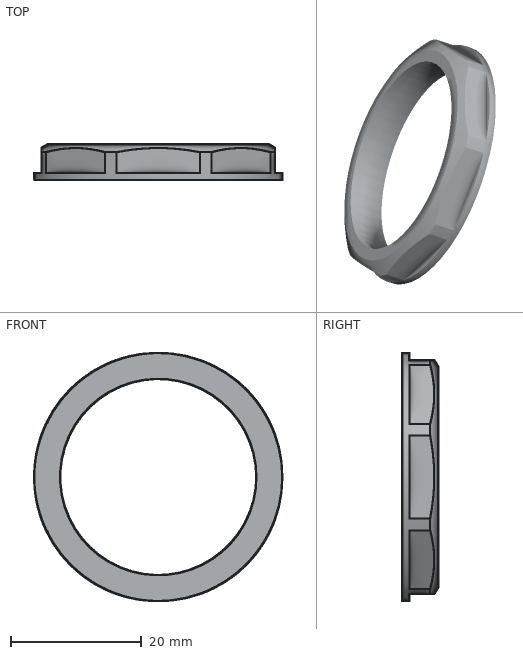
import cadquery as cq
import math

outer_diameter = 38.0
bore_diameter = 30.0
total_length = 5.5
flange_thickness = 1.1
flat_count = 8
across_flats = 35.8
chamfer_end_diameter = 33.65
chamfer_angle = 30.0

outer_radius = outer_diameter / 2
chamfer_end_radius = chamfer_end_diameter / 2
chamfer_length = (outer_radius - chamfer_end_radius) * math.tan(math.radians(chamfer_angle))
body_length = total_length - flange_thickness


def ring_blank():
    """Revolve the bored ring with its conical chamfer at the rear end."""
    profile = [
        (bore_diameter / 2, 0),
        (outer_radius, 0),
        (outer_radius, total_length - chamfer_length),
        (chamfer_end_radius, total_length),
        (bore_diameter / 2, total_length),
    ]
    return cq.Workplane("XY").polyline(profile).close().revolve(360, (0, 0, 0), (0, 1, 0))


def flat_cutter(angle):
    """Block that removes the stock outside one wrench flat, behind the flange."""
    block = cq.Workplane("XY").box(
        outer_radius, body_length, outer_diameter, centered=(False, False, True)
    )
    block = block.translate((across_flats / 2, flange_thickness, 0))
    return block.rotate((0, 0, 0), (0, 1, 0), angle)


result = ring_blank()
for index in range(flat_count):
    result = result.cut(flat_cutter(index * 360 / flat_count))